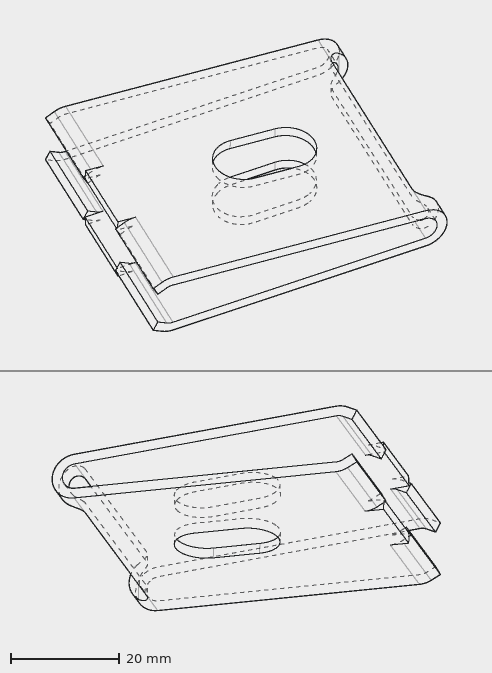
import cadquery as cq
import math


width = 50.0
overall_length = 59.1
overall_height = 13.75

thickness = 2.0
inner_radius = 2.5
outer_radius = inner_radius + thickness

tab_end = 54.4
tab_width = 15.0
lip_angle = math.radians(30)
lip_flat = thickness

tab_corner_radius = math.hypot(tab_end, outer_radius)
arm_tilt = math.asin(overall_height / 2 / tab_corner_radius) - math.atan2(outer_radius, tab_end)

lip_reach = outer_radius * math.sin(lip_angle) + lip_flat * math.cos(lip_angle)
lip_tip_height = outer_radius * math.cos(lip_angle) - lip_flat * math.sin(lip_angle)
tip_distance = overall_length - outer_radius
arm_length = (tip_distance + lip_tip_height * math.sin(arm_tilt)) / math.cos(arm_tilt) - lip_reach

slot_width = 11.0
slot_length = 20.0
slot_distance = 21.6

strap_width = 4.0
window_corner = 2.5

cutter_size = 3 * overall_length


def polar(radius, angle):
    """Point at an angle from +Y around the bend axis, in the YZ plane."""
    return (radius * math.cos(angle), radius * math.sin(angle))


def across_width(profile, span):
    """Extrude a YZ profile along X, centred on the mid-plane."""
    return profile.extrude(span / 2, both=True)


def main_bend():
    """Round bend joining the two arms, ending square to each of them."""
    end = math.pi / 2 - arm_tilt
    profile = (
        cq.Workplane("YZ")
        .moveTo(*polar(outer_radius, end))
        .threePointArc((outer_radius, 0), polar(outer_radius, -end))
        .lineTo(*polar(inner_radius, -end))
        .threePointArc((inner_radius, 0), polar(inner_radius, end))
        .close()
    )
    return across_width(profile, width)


def flat_sheet(length, span):
    """Straight sheet leaving the main bend along -Y, before the arm is tilted."""
    profile = (
        cq.Workplane("YZ")
        .moveTo(0, inner_radius)
        .lineTo(0, outer_radius)
        .lineTo(-length, outer_radius)
        .lineTo(-length, inner_radius)
        .close()
    )
    return across_width(profile, span)


def lip():
    """Lip bent toward the mid-plane with the same radii as the main bend."""

    def on_arc(radius, angle):
        return (-arm_length - radius * math.sin(angle), radius * math.cos(angle))

    def lip_tip(radius):
        y, z = on_arc(radius, lip_angle)
        return (y - lip_flat * math.cos(lip_angle), z - lip_flat * math.sin(lip_angle))

    profile = (
        cq.Workplane("YZ")
        .moveTo(-arm_length, outer_radius)
        .threePointArc(on_arc(outer_radius, lip_angle / 2), on_arc(outer_radius, lip_angle))
        .lineTo(*lip_tip(outer_radius))
        .lineTo(*lip_tip(inner_radius))
        .lineTo(*on_arc(inner_radius, lip_angle))
        .threePointArc(on_arc(inner_radius, lip_angle / 2), (-arm_length, inner_radius))
        .close()
    )
    tab_gap = cq.Workplane("XY").box(tab_width, cutter_size, cutter_size)
    return across_width(profile, width).cut(tab_gap)


def upper_arm():
    """Arm with its tab, lips and slot, made level and then tilted about the bend axis."""
    slot = (
        cq.Workplane("XY")
        .center(0, -slot_distance)
        .slot2D(slot_length, slot_width, 90)
        .extrude(cutter_size)
    )
    arm = (
        flat_sheet(arm_length, width)
        .union(flat_sheet(tab_end, tab_width))
        .union(lip())
        .cut(slot)
    )
    return arm.rotate((0, 0, 0), (1, 0, 0), -math.degrees(arm_tilt))


def bend_window():
    """Cutter running down through the bend, rounded where it meets the arms."""
    start = outer_radius * math.sin(arm_tilt)
    return (
        cq.Workplane("XY")
        .box(width - 2 * strap_width, cutter_size, cutter_size)
        .edges("|Z and <Y")
        .fillet(window_corner)
        .translate((0, start + cutter_size / 2, 0))
    )


arm = upper_arm()
result = main_bend().union(arm).union(arm.mirror("XY")).cut(bend_window())